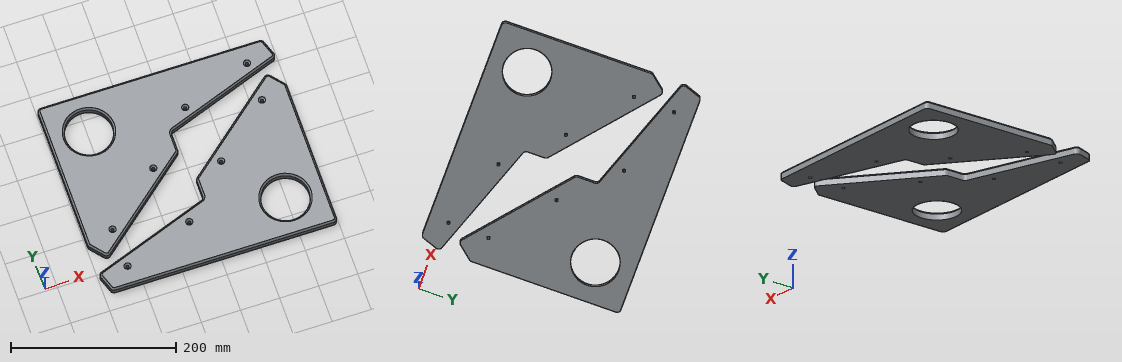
import cadquery as cq
import math

length = 296.5
width = 258.2
thickness = 10.0
plate_count = 2

step_x = -4.5
step_bottom_y = 20.7
step_top_y = 48.5
lower_slope = 40.0
upper_slope = 19.5
lower_edge = 164.2
upper_edge = 162.5
corner_radius = 5.0
edge_chamfer = 2.5

window_diameter = 60.0
window_center = (-98.5, 79.7)

screw_diameter = 4.0
screw_chamfer = 2.5
lower_screw_start = 35.3
upper_screw_start = 33.2
screw_spacing = 95.0
screw_edge_offset = 14.0


def along(start, angle, distance):
    """Point reached from start by going a distance at an angle in degrees."""
    radians = math.radians(angle)
    return (start[0] + distance * math.cos(radians), start[1] + distance * math.sin(radians))


left_x = -length / 2
back_y = width / 2
step_bottom = (step_x, step_bottom_y)
step_top = (step_x, step_top_y)
lower_direction = lower_slope + 180
upper_direction = upper_slope
lower_tip = along(step_bottom, lower_direction, lower_edge)
upper_tip = along(step_top, upper_direction, upper_edge)


def plate_outline():
    """Corners of the plate; each end cut is square to its sloping edge."""
    slope_run = math.tan(math.radians(upper_slope))
    lower_cut_y = lower_tip[1] + (lower_tip[0] - left_x) / math.tan(math.radians(lower_slope))
    upper_cut_x = upper_tip[0] - (back_y - upper_tip[1]) * slope_run
    return [
        (left_x, back_y),
        (left_x, lower_cut_y),
        lower_tip,
        step_bottom,
        step_top,
        upper_tip,
        (upper_cut_x, back_y),
    ]


def screw_row(edge_start, direction, inward, first_distance):
    """Two screw centers beside a sloping edge."""
    row_start = along(edge_start, inward, screw_edge_offset)
    distances = (first_distance, first_distance + screw_spacing)
    return [along(row_start, direction, distance) for distance in distances]


def chamfered_hole(center, diameter, chamfer):
    """Cutter for a through hole with a 45 degree chamfer at the top face."""
    radius = diameter / 2
    profile = [
        (0, 0),
        (radius, 0),
        (radius, thickness - chamfer),
        (radius + chamfer, thickness),
        (0, thickness),
    ]
    cutter = cq.Workplane("XZ").polyline(profile).close().revolve(360, (0, 0, 0), (0, 1, 0))
    return cutter.translate((center[0], center[1], 0))


def make_plate():
    plate = cq.Workplane("XY").polyline(plate_outline()).close().extrude(thickness)
    plate = plate.edges("|Z").fillet(corner_radius)
    plate = plate.faces(">Z").edges().chamfer(edge_chamfer)
    plate = plate.cut(chamfered_hole(window_center, window_diameter, edge_chamfer))
    screw_centers = screw_row(step_bottom, lower_direction, lower_direction - 90, lower_screw_start)
    screw_centers += screw_row(step_top, upper_direction, upper_direction + 90, upper_screw_start)
    for center in screw_centers:
        plate = plate.cut(chamfered_hole(center, screw_diameter, screw_chamfer))
    return plate


plates = []
for index in range(plate_count):
    turn = index * 360 / plate_count
    plate = make_plate().rotate((0, 0, 0), (0, 0, 1), turn)
    plates.append(plate.val())

result = cq.Compound.makeCompound(plates)